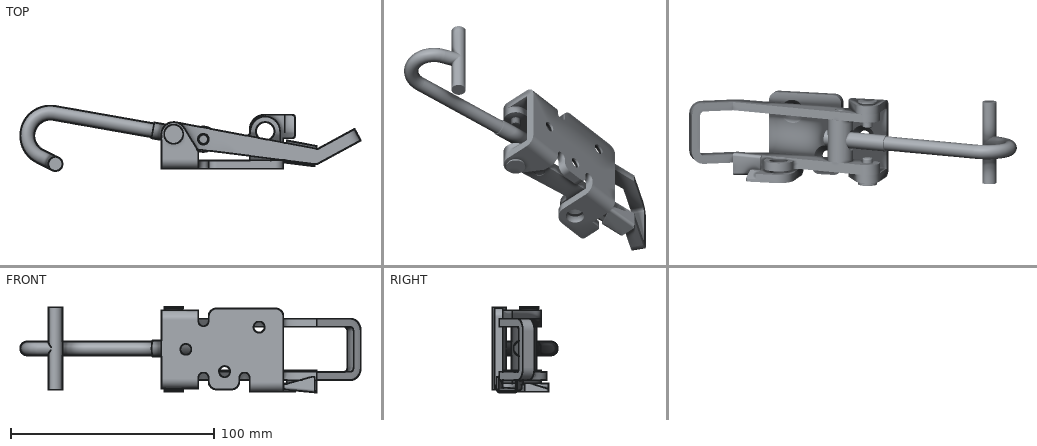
import cadquery as cq
import math


trim_reach = 20.0

sheet = 4.1
spring_sheet = 0.9
lever_half_width = 15.2
arm_inner_z = lever_half_width - sheet
ear_outer_z = lever_half_width + sheet
leaf_z = arm_inner_z - spring_sheet

pivot_end_radius = 6.0
base_outer_y = -17.05
base_inner_y = base_outer_y + sheet
bracket_left_x = -pivot_end_radius
bend_inner_radius = 0.5
bend_outer_radius = bend_inner_radius + sheet
ear_right_x = 12.2
ear_slope_end_y = -8.3
base_right_x = 54.1
base_top_z = 20.2
base_bottom_z = -19.8
base_corner_radius = 4.0
slot_width = 5.0
slot_end_z = 11.4
tab_left_x = 37.4
tab_outer_z = -20.9
mount_hole_diameter = 5.4
mount_sink_diameter = 11.6
mount_holes = [(6.0, 0.0), (25.1, -11.0), (42.1, 11.0)]

eye_x, eye_y = 45.1, 1.4
eye_diameter = 9.0
eye_lobe_radius = 7.3
eye_lobe_fillet = 2.0

tab_top_y = 9.6
tab_round_radius = 7.5
finger_right_x = 59.8
finger_bottom_y = -2.1
finger_corner_radius = 1.5
ramp_left_x = 54.7
ramp_start_y = 0.9
ramp_angle = 17.3

arm_top_angle = -10.7
arm_bottom_angle = -7.1
handle_angle = 28.5
handle_width = 6.5
handle_length = 24.57
bend_x = 70.6
handle_outer_radius = 6.0
handle_inner_radius = handle_outer_radius - sheet

rivet_shank_diameter = 5.0
rivet_head_diameter = 9.4
rivet_neck_diameter = 8.0
rivet_head_height = 1.6
rivet_rim_height = 0.7
rivet_inner_z = 7.7
small_chamfer = 0.4

barrel_x, barrel_y = 14.6, -2.5
barrel_radius = 6.3
barrel_pin_diameter = 5.3
barrel_mid_z = (arm_inner_z - leaf_z) / 2
countersink_diameter = 10.3

rod_diameter = 7.0
thread_diameter = 8.0
rod_angle = 170.0
thread_start = 25.2
hook_start = 74.5
hook_radius = 11.35
hook_turn = 163.5
hook_leg = 8.5
rod_overhang = 1.0
crossbar_length = 40.7

channel_left_x = 55.6
channel_right_x = 70.5
panel_left_x = 54.15
panel_right_x = 69.6
channel_outer_z_left = -19.75
channel_outer_z_right = -21.35
channel_top_gap = 1.4
channel_bottom_gap = 1.2
channel_bend_radius = 1.4
panel_edge_z_left = -17.4
panel_edge_z_right = -13.1
panel_corner_radius = 1.0
wall_front_angle = 60.0
wall_front_top_z = -17.5
leaf_trim_start_x = 54.0
leaf_trim_end_y = -8.5


def direction(angle):
    return (math.cos(math.radians(angle)), math.sin(math.radians(angle)))


def step(point, angle, distance):
    dx, dy = direction(angle)
    return (point[0] + distance * dx, point[1] + distance * dy)


def prism(outline, z_low, z_high):
    """Outline in the XY plane filled between two heights."""
    return outline.extrude(z_high - z_low).translate((0, 0, z_low))


def disc(x, y, diameter, z_low, z_high):
    return prism(cq.Workplane("XY").center(x, y).circle(diameter / 2), z_low, z_high)


def arm_top_y(x):
    """Upper edge of the arm, tangent to its round pivot end."""
    angle = math.radians(arm_top_angle)
    return pivot_end_radius / math.cos(angle) + x * math.tan(angle)


def arm_bottom_y(x):
    """Lower edge of the arm, tangent to its round pivot end."""
    angle = math.radians(arm_bottom_angle)
    return -pivot_end_radius / math.cos(angle) + x * math.tan(angle)


def pivot_ended_outline(end_points):
    """Closed outline that starts and ends tangent to the round pivot end."""
    top_tangent = step((0, 0), arm_top_angle + 90, pivot_end_radius)
    bottom_tangent = step((0, 0), arm_bottom_angle - 90, pivot_end_radius)
    outline = cq.Workplane("XY").moveTo(*bottom_tangent)
    for point in end_points:
        outline = outline.lineTo(*point)
    return outline.lineTo(*top_tangent).threePointArc((-pivot_end_radius, 0), bottom_tangent).close()


def pin_holes(z_low, z_high):
    """Holes for the rivet shank and the barrel pin."""
    rivet_hole = disc(0, 0, rivet_shank_diameter, z_low, z_high)
    return rivet_hole.union(disc(barrel_x, barrel_y, barrel_pin_diameter, z_low, z_high))


def eye_hole(z_low, z_high):
    return disc(eye_x, eye_y, eye_diameter, z_low, z_high)


def bracket_channel(left_x, right_x, low_z, high_z):
    """Bent sheet: a stretch of base plate with a wall at its low and high Z sides."""
    height = tab_top_y - base_outer_y
    length = right_x - left_x
    width = high_z - low_z
    outer = cq.Workplane("XY").box(length, height, width, centered=False)
    outer = outer.edges("|X and <Y").fillet(bend_outer_radius)
    inner = cq.Workplane("XY").box(length, height, width - 2 * sheet, centered=False)
    inner = inner.edges("|X and <Y").fillet(bend_inner_radius)
    channel = outer.cut(inner.translate((0, sheet, sheet)))
    return channel.translate((left_x, base_outer_y, low_z))


def ear_section():
    """Two ears with round pivot ends joined by the base plate."""
    channel = bracket_channel(bracket_left_x, ear_right_x, -ear_outer_z, ear_outer_z)
    corner = (ear_right_x, ear_slope_end_y)
    corner_angle = math.degrees(math.atan2(corner[1], corner[0]))
    tangent_angle = corner_angle + math.degrees(math.acos(pivot_end_radius / math.hypot(*corner)))
    outline = (
        cq.Workplane("XY")
        .moveTo(bracket_left_x, base_outer_y)
        .lineTo(ear_right_x, base_outer_y)
        .lineTo(*corner)
        .lineTo(*step((0, 0), tangent_angle, pivot_end_radius))
        .threePointArc((0, pivot_end_radius), (bracket_left_x, 0))
        .close()
    )
    ears = channel.intersect(prism(outline, -ear_outer_z, ear_outer_z))
    return ears.cut(disc(0, 0, rivet_shank_diameter, -ear_outer_z, ear_outer_z))


def base_plate():
    """Flat plate to the right of the ears with rounded corners."""
    slot_right_x = ear_right_x + slot_width
    tongue_right_x = tab_left_x - slot_width

    def plate(left_x, right_x, low_z, high_z):
        block = cq.Workplane("XY").box(right_x - left_x, sheet, high_z - low_z, centered=False)
        return block.translate((left_x, base_outer_y, low_z))

    upper = plate(slot_right_x, base_right_x, 0, base_top_z)
    upper = upper.edges("|Y and >Z").fillet(base_corner_radius)
    tongue = plate(slot_right_x, tongue_right_x, base_bottom_z, 0)
    tongue = tongue.edges("|Y and <Z").fillet(base_corner_radius)
    middle_z = slot_end_z + slot_width / 2
    middle = plate(ear_right_x, base_right_x, -middle_z, middle_z)
    body = upper.union(tongue).union(middle)
    slots = [
        (ear_right_x, slot_end_z, 1),
        (ear_right_x, -slot_end_z, -1),
        (tongue_right_x, -slot_end_z, -1),
    ]
    for left_x, end_z, side in slots:
        body = body.cut(relief_slot(left_x, end_z, side))
    return body


def relief_slot(left_x, end_z, side):
    """Round-ended slot through the base plate, open towards +Z (side 1) or -Z (side -1)."""
    radius = slot_width / 2
    outline = (
        cq.Workplane("XZ", origin=(0, base_inner_y, 0))
        .moveTo(left_x, end_z + side * trim_reach)
        .lineTo(left_x, end_z + side * radius)
        .threePointArc((left_x + radius, end_z), (left_x + slot_width, end_z + side * radius))
        .lineTo(left_x + slot_width, end_z + side * trim_reach)
        .close()
    )
    return outline.extrude(sheet)


def padlock_tab():
    """Third wall with the padlock eye and a finger that the catch snaps over."""
    channel = bracket_channel(tab_left_x, finger_right_x, tab_outer_z, -tab_outer_z)
    inner_z = tab_outer_z + sheet
    wall = prism(
        cq.Workplane("XY")
        .moveTo(tab_left_x, base_outer_y)
        .lineTo(base_right_x, base_outer_y)
        .lineTo(base_right_x, finger_bottom_y)
        .lineTo(finger_right_x, finger_bottom_y)
        .lineTo(finger_right_x, tab_top_y)
        .lineTo(tab_left_x, tab_top_y)
        .close(),
        tab_outer_z,
        -slot_end_z,
    )
    wall = wall.edges("|Z and >X").fillet(finger_corner_radius)
    wall = wall.edges("|Z and <X and >Y").fillet(tab_round_radius)
    ramp_drop = (tab_top_y - ramp_start_y) * math.tan(math.radians(ramp_angle))
    ramp = (
        cq.Workplane("YZ", origin=(ramp_left_x, 0, 0))
        .moveTo(ramp_start_y, inner_z)
        .lineTo(tab_top_y, inner_z)
        .lineTo(tab_top_y, inner_z - ramp_drop)
        .close()
        .extrude(finger_right_x - ramp_left_x)
    )
    return channel.intersect(wall).cut(ramp).cut(eye_hole(tab_outer_z, inner_z))


def make_bracket():
    body = ear_section().union(base_plate()).union(padlock_tab())
    inner_face = cq.Workplane("XZ", origin=(0, base_inner_y, 0)).pushPoints(mount_holes)
    body = body.cut(inner_face.circle(mount_hole_diameter / 2).extrude(sheet))
    sink_depth = (mount_sink_diameter - mount_hole_diameter) / 2
    return body.cut(inner_face.circle(mount_sink_diameter / 2).extrude(sink_depth, taper=45))


def make_lever():
    """Two tapered arms joined by a bent-up U-shaped handle; the lower arm carries the eye."""
    lower_bend = (bend_x, arm_bottom_y(bend_x))
    lower_tip = step(lower_bend, handle_angle, handle_length)
    upper_tip = step(lower_tip, handle_angle + 90, handle_width)
    handle_slope = math.tan(math.radians(handle_angle))
    arm_slope = math.tan(math.radians(arm_top_angle))
    upper_bend_x = (upper_tip[1] - arm_top_y(0) - handle_slope * upper_tip[0]) / (arm_slope - handle_slope)
    upper_bend = (upper_bend_x, arm_top_y(upper_bend_x))
    outline = pivot_ended_outline([lower_bend, lower_tip, upper_tip, upper_bend])
    body = prism(outline, -lever_half_width, lever_half_width)

    handle_axis = direction(handle_angle)
    across = cq.Vector(-handle_axis[1], handle_axis[0], 0)
    end_face = cq.selectors.DirectionMinMaxSelector(cq.Vector(*handle_axis, 0), True)
    body = body.faces(end_face).edges(cq.selectors.ParallelDirSelector(across)).fillet(handle_outer_radius)

    handle_plane = cq.Plane(origin=(*lower_tip, 0), xDir=(*handle_axis, 0), normal=(0, 0, 1))
    reach = 2 * (bend_x + handle_length)
    opening = cq.Workplane(handle_plane).box(reach, reach, 2 * arm_inner_z)
    opening = opening.edges(cq.selectors.ParallelDirSelector(across)).fillet(handle_inner_radius)
    shift = -reach / 2 - sheet
    opening = opening.translate((shift * handle_axis[0], shift * handle_axis[1], 0))

    body = body.cut(opening).union(eye_lobe())
    body = body.cut(eye_hole(-lever_half_width, -arm_inner_z))
    return body.cut(pin_holes(-lever_half_width, lever_half_width))


def eye_lobe():
    """Round-topped lobe on the lower arm, blended into the arm's upper edge on its left."""
    left_x = eye_x - eye_lobe_radius
    right_x = eye_x + eye_lobe_radius
    foot_x = left_x - eye_lobe_fillet
    outline = (
        cq.Workplane("XY")
        .moveTo(foot_x, arm_bottom_y(foot_x))
        .lineTo(foot_x, arm_top_y(foot_x))
        .radiusArc((left_x, arm_top_y(left_x) + eye_lobe_fillet), -eye_lobe_fillet)
        .lineTo(left_x, eye_y)
        .threePointArc((eye_x, eye_y + eye_lobe_radius), (right_x, eye_y))
        .lineTo(right_x, arm_bottom_y(right_x))
        .close()
    )
    return prism(outline, -lever_half_width, -arm_inner_z)


def make_rivet(side):
    """Headed pivot rivet on the +Z (side 1) or -Z (side -1) ear."""
    shank_radius = rivet_shank_diameter / 2
    head_radius = rivet_head_diameter / 2
    head_top = ear_outer_z + rivet_head_height
    profile = (
        cq.Workplane("XZ")
        .moveTo(0, rivet_inner_z)
        .lineTo(shank_radius - small_chamfer, rivet_inner_z)
        .lineTo(shank_radius, rivet_inner_z + small_chamfer)
        .lineTo(shank_radius, ear_outer_z)
        .lineTo(rivet_neck_diameter / 2, ear_outer_z)
        .lineTo(head_radius, head_top - rivet_rim_height)
        .lineTo(head_radius, head_top)
        .lineTo(0, head_top)
        .close()
    )
    rivet = profile.revolve(360, (0, 0, 0), (0, 1, 0))
    if side < 0:
        rivet = rivet.mirror("XY")
    return rivet


def rod_cylinder(diameter, start, end):
    """Cylinder along the rod axis between two distances from the barrel axis."""
    return rod_cone(diameter, diameter, start, end)


def rod_cone(start_diameter, end_diameter, start, end):
    """Round taper along the rod axis between two distances from the barrel axis."""
    along = direction(rod_angle)
    origin = (barrel_x + start * along[0], barrel_y + start * along[1], barrel_mid_z)
    axis = cq.Plane(origin=origin, xDir=(0, 0, 1), normal=(*along, 0))
    taper = math.degrees(math.atan2((start_diameter - end_diameter) / 2, end - start))
    return cq.Workplane(axis).circle(start_diameter / 2).extrude(end - start, taper=taper)


def make_barrel():
    """Cross barrel with a pin at each end and a countersunk hole for the threaded rod."""
    body = disc(barrel_x, barrel_y, 2 * barrel_radius, -leaf_z, arm_inner_z)
    pins = disc(barrel_x, barrel_y, barrel_pin_diameter, -lever_half_width, lever_half_width)
    body = body.union(pins.faces("<Z or >Z").chamfer(small_chamfer))
    body = body.cut(rod_cylinder(thread_diameter, -2 * barrel_radius, 2 * barrel_radius))
    sink_depth = (countersink_diameter - thread_diameter) / 2
    sink = rod_cone(thread_diameter, countersink_diameter, barrel_radius - sink_depth, barrel_radius)
    return body.cut(sink)


def make_hook():
    """Threaded rod that curls into a hook ending in a crossbar."""
    start = step((barrel_x, barrel_y), rod_angle, thread_start)
    curl_start = step((barrel_x, barrel_y), rod_angle, hook_start)
    centre = step(curl_start, rod_angle + 90, hook_radius)
    curl_middle = step(centre, rod_angle - 90 + hook_turn / 2, hook_radius)
    curl_end = step(centre, rod_angle - 90 + hook_turn, hook_radius)
    crossbar = step(curl_end, rod_angle + hook_turn, hook_leg)
    path = (
        cq.Workplane("XY", origin=(0, 0, barrel_mid_z))
        .moveTo(*start)
        .lineTo(*curl_start)
        .threePointArc(curl_middle, curl_end)
        .lineTo(*crossbar)
    )
    section = cq.Plane(origin=(*start, barrel_mid_z), xDir=(0, 0, 1), normal=(*direction(rod_angle), 0))
    rod = cq.Workplane(section).circle(rod_diameter / 2).sweep(path)
    bar_low_z = barrel_mid_z - crossbar_length / 2
    bar = disc(*crossbar, rod_diameter, bar_low_z, bar_low_z + crossbar_length)
    thread = rod_cylinder(thread_diameter, -barrel_radius - rod_overhang, thread_start)
    return rod.union(bar).union(thread)


def channel_block(inset):
    """Tapered block around the lower arm; a positive inset gives the channel's inside."""
    left_x, right_x = panel_left_x, channel_right_x
    top, bottom = channel_top_gap - inset, channel_bottom_gap - inset
    outline = cq.Workplane("XY").polyline([
        (left_x, arm_bottom_y(left_x) - bottom),
        (right_x, arm_bottom_y(right_x) - bottom),
        (right_x, arm_top_y(right_x) + top),
        (left_x, arm_top_y(left_x) + top),
    ]).close()
    block = prism(outline, channel_outer_z_right, -leaf_z - inset)
    below = (
        cq.Workplane("XZ")
        .polyline([
            (left_x, channel_outer_z_left + inset),
            (right_x, channel_outer_z_right + inset),
            (right_x, channel_outer_z_right - sheet),
            (left_x, channel_outer_z_right - sheet),
        ])
        .close()
        .extrude(trim_reach, both=True)
    )
    return block.cut(below).edges("not #X").fillet(channel_bend_radius - inset)


def make_catch():
    """Spring leaf inside the lower arm with a channel that wraps round to the arm's far side."""
    right_top_y = arm_top_y(channel_right_x)
    leaf_outline = pivot_ended_outline([
        (leaf_trim_start_x, arm_bottom_y(leaf_trim_start_x)),
        (channel_right_x, leaf_trim_end_y),
        (channel_right_x, right_top_y),
    ])
    leaf = prism(leaf_outline, -arm_inner_z, -leaf_z)
    leaf = leaf.cut(pin_holes(-arm_inner_z, -leaf_z)).cut(eye_hole(-arm_inner_z, -leaf_z))

    channel = channel_block(0).cut(channel_block(spring_sheet))
    return leaf.union(channel.cut(leaf_side_trim()).cut(front_trim()).cut(panel_trim()))


def leaf_side_trim():
    """Clears the channel's leaf side below the leaf's sloping lower edge."""
    outline = cq.Workplane("XY").polyline([
        (leaf_trim_start_x, arm_bottom_y(leaf_trim_start_x)),
        (channel_right_x, leaf_trim_end_y),
        (channel_right_x, base_outer_y),
        (leaf_trim_start_x, base_outer_y),
    ]).close()
    return prism(outline, -arm_inner_z - channel_bend_radius, -leaf_z)


def front_trim():
    """Clears the bridge left of its end and slopes the outer wall's front edge."""
    foot = (panel_left_x, arm_bottom_y(panel_left_x))
    front_top = step(foot, wall_front_angle, trim_reach)
    wall_cut = prism(
        cq.Workplane("XY").polyline([foot, front_top, (panel_left_x, front_top[1])]).close(),
        channel_outer_z_right,
        wall_front_top_z,
    )
    bridge_cut = cq.Workplane("XY").box(
        channel_left_x - panel_left_x, trim_reach, 2 * ear_outer_z, centered=(False, False, True)
    )
    return wall_cut.union(bridge_cut.translate((*foot, 0)))


def panel_trim():
    """Clears everything around the panel's sloping free edge, rounded corner and right end."""
    panel_top_y = arm_bottom_y(channel_right_x)
    start = cq.Workplane("XZ", origin=(0, arm_bottom_y(panel_left_x), 0))
    depth = arm_bottom_y(panel_left_x) - base_outer_y
    keep = (
        start.polyline([
            (panel_left_x, channel_outer_z_right),
            (panel_right_x, channel_outer_z_right),
            (panel_right_x, panel_edge_z_right),
            (panel_left_x, panel_edge_z_left),
        ])
        .close()
        .extrude(depth)
        .edges("|Y and >X and >Z")
        .fillet(panel_corner_radius)
    )
    length = channel_right_x - panel_left_x
    height = -leaf_z - channel_outer_z_right
    middle = ((panel_left_x + channel_right_x) / 2, channel_outer_z_right + height / 2)
    surround = start.center(*middle).rect(length, height).extrude(depth).cut(keep)
    below_arm = prism(
        cq.Workplane("XY").polyline([
            (panel_left_x, arm_bottom_y(panel_left_x)),
            (channel_right_x, panel_top_y),
            (channel_right_x, base_outer_y),
            (panel_left_x, base_outer_y),
        ]).close(),
        channel_outer_z_right,
        -leaf_z,
    )
    return surround.intersect(below_arm)


bracket = make_bracket()
lever = make_lever()
rivets = [make_rivet(side) for side in (1, -1)]
barrel = make_barrel()
hook = make_hook()
catch = make_catch()

result = cq.Compound.makeCompound(
    [bracket.val(), lever.val(), *[rivet.val() for rivet in rivets], barrel.val(), hook.val(), catch.val()]
)